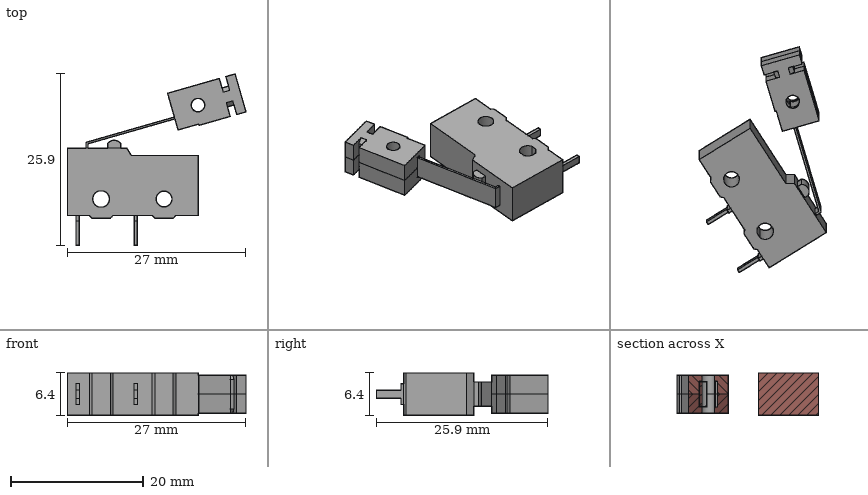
import cadquery as cq
import math

HOUSING_LENGTH = 19.8
HOUSING_THICKNESS = 6.4
HIGH_SIDE = 10.2
LOW_SIDE = 9.1
STEP_START = 9.0
STEP_END = 9.67

HOLE_DIAMETER = 2.35
HOLE_Y = 2.5
FIRST_HOLE_X = 5.1
HOLE_SPACING = 9.5
FLATTENED_DIAMETER = 2.48

PAD_BASE = 3.57
PAD_TIP = 2.78
PAD_DEPTH = 0.4

TERMINAL_X = 1.57
TERMINAL_SPACING = 8.78
TERMINAL_THICKNESS = 0.5
TERMINAL_LENGTH = 4.5
TERMINAL_WIDTH = 1.25
SHOULDER_WIDTH = 3.15
SHOULDER_LENGTH = 0.8

TILT = 16
SHEET = 0.32
LEVER_WIDTH = 3.67
STUB_X = 2.8
HOOK_RADIUS = 1.03
ARM_DROP = 0.9
HOOK_ARM = 5.4

PLUNGER_X = 7.08
PLUNGER_LENGTH = 2.0
PLUNGER_SIDE = 0.68
PLUNGER_HEIGHT = 1.2

CLIP_X = 19.75
CLIP_Y = 16.7
CLIP_WIDTH = 6.0
CLIP_THICKNESS = 5.78
CLIP_HOLE_DIAMETER = 2.0
BODY_BACK = 3.95
BODY_LENGTH = 8.15
RELIEF_LENGTH = 3.25
RELIEF_DEPTH = 0.203
NECK_LENGTH = 1.0
NECK_WIDTH = 3.0
NECK_CHAMFER = 0.68
HEAD_LENGTH = 1.49
CLEARANCE = 0.1


def place(shape):
    """Move a shape from the tilted frame of the clip to its position in the assembly."""
    return shape.rotate((0, 0, 0), (0, 0, 1), TILT).translate((CLIP_X, CLIP_Y, 0))


def slab(points, thickness):
    """Closed outline extruded symmetrically about Z = 0."""
    return cq.Workplane("XY").polyline(points).close().extrude(thickness / 2, both=True)


def block(u_start, u_end, v_start, v_end, thickness):
    """Rectangular block between two corners, centred on Z = 0."""
    return slab([(u_start, v_start), (u_end, v_start), (u_end, v_end), (u_start, v_end)], thickness)


def disc(radius, thickness):
    return cq.Workplane("XY").circle(radius).extrude(thickness / 2, both=True)


def make_case():
    case = slab(
        [
            (0, 0),
            (HOUSING_LENGTH, 0),
            (HOUSING_LENGTH, LOW_SIDE),
            (STEP_END, LOW_SIDE),
            (STEP_START, HIGH_SIDE),
            (0, HIGH_SIDE),
        ],
        HOUSING_THICKNESS,
    )
    for x in (FIRST_HOLE_X, FIRST_HOLE_X + HOLE_SPACING):
        case = case.union(slab(
            [
                (x - PAD_BASE / 2, 0),
                (x - PAD_TIP / 2, -PAD_DEPTH),
                (x + PAD_TIP / 2, -PAD_DEPTH),
                (x + PAD_BASE / 2, 0),
            ],
            HOUSING_THICKNESS,
        ))
    half_flat = HOLE_DIAMETER / 2
    flattened_hole = disc(FLATTENED_DIAMETER / 2, HOUSING_THICKNESS).intersect(
        block(-FLATTENED_DIAMETER, FLATTENED_DIAMETER, -half_flat, half_flat, HOUSING_THICKNESS)
    ).translate((FIRST_HOLE_X, HOLE_Y, 0))
    round_hole = disc(half_flat, HOUSING_THICKNESS).translate((FIRST_HOLE_X + HOLE_SPACING, HOLE_Y, 0))
    return case.cut(flattened_hole).cut(round_hole)


def make_terminal(x):
    """T-shaped blade standing out of the -Y side."""
    shoulder = cq.Workplane("XY").box(
        TERMINAL_THICKNESS, SHOULDER_LENGTH, SHOULDER_WIDTH
    ).translate((x, -SHOULDER_LENGTH / 2, 0))
    blade = cq.Workplane("XY").box(
        TERMINAL_THICKNESS, TERMINAL_LENGTH, TERMINAL_WIDTH
    ).translate((x, -TERMINAL_LENGTH / 2, 0))
    return shoulder.union(blade)


def make_plunger():
    left = PLUNGER_X - PLUNGER_LENGTH / 2
    right = PLUNGER_X + PLUNGER_LENGTH / 2
    return (
        cq.Workplane("XY")
        .moveTo(left, HIGH_SIDE)
        .lineTo(right, HIGH_SIDE)
        .lineTo(right, HIGH_SIDE + PLUNGER_SIDE)
        .threePointArc((PLUNGER_X, HIGH_SIDE + PLUNGER_HEIGHT), (left, HIGH_SIDE + PLUNGER_SIDE))
        .close()
        .extrude(LEVER_WIDTH / 2, both=True)
    )


def make_hook(gap):
    """End of the lever in the clip frame, grown by a gap on every side."""
    thickness = LEVER_WIDTH + 2 * gap
    outer = HOOK_RADIUS + SHEET + gap
    arm_top = -ARM_DROP + SHEET / 2
    arm_bottom = -ARM_DROP - SHEET / 2
    join = gap - math.sqrt((HOOK_RADIUS + SHEET) ** 2 - arm_bottom ** 2)
    ring = disc(outer, thickness).cut(disc(HOOK_RADIUS - gap, thickness))
    opening = block(join, outer, -outer, -gap, thickness)
    arm = block(-HOOK_ARM, join, arm_bottom - gap, arm_top + gap, thickness)
    return ring.cut(opening).union(arm)


def make_lever():
    slope = math.tan(math.radians(TILT))
    half_rise = SHEET / 2 / math.cos(math.radians(TILT))
    arm_y = CLIP_Y - ARM_DROP / math.cos(math.radians(TILT))
    arm_end = CLIP_X - HOOK_ARM / 2

    def arm_edge(x, offset):
        return (x, arm_y + (x - CLIP_X) * slope + offset)

    sheet = slab(
        [
            (STUB_X, HIGH_SIDE),
            (STUB_X + SHEET, HIGH_SIDE),
            arm_edge(STUB_X + SHEET, -half_rise),
            arm_edge(arm_end, -half_rise),
            arm_edge(arm_end, half_rise),
            arm_edge(STUB_X, half_rise),
        ],
        LEVER_WIDTH,
    )
    return sheet.union(place(make_hook(0)))


def make_microswitch():
    switch = make_case().union(make_plunger()).union(make_lever())
    for x in (TERMINAL_X, TERMINAL_X + TERMINAL_SPACING):
        switch = switch.union(make_terminal(x))
    return switch


def make_clip_half(z_side):
    """Half of the clip above (z_side = 1) or below (z_side = -1) the parting plane Z = 0."""
    side = CLIP_WIDTH / 2
    body_front = BODY_LENGTH - BODY_BACK
    head_back = body_front + NECK_LENGTH
    head_front = head_back + HEAD_LENGTH

    body = block(-BODY_BACK, body_front, -side, side, CLIP_THICKNESS)
    relief = block(-BODY_BACK, RELIEF_LENGTH - BODY_BACK, -side, RELIEF_DEPTH - side, CLIP_THICKNESS)
    head = block(head_back, head_front, -side, side, CLIP_THICKNESS)
    neck = (
        block(body_front, head_back, -NECK_WIDTH / 2, NECK_WIDTH / 2, CLIP_THICKNESS)
        .edges("|X").chamfer(NECK_CHAMFER)
    )
    clip = body.cut(relief).union(neck).union(head)
    clip = clip.cut(disc(CLIP_HOLE_DIAMETER / 2, CLIP_THICKNESS)).cut(make_hook(CLEARANCE))

    half_thickness = CLIP_THICKNESS / 2
    half_space = (
        block(-BODY_BACK, head_front, -side, side, half_thickness)
        .translate((0, 0, z_side * half_thickness / 2))
    )
    return place(clip.intersect(half_space))


microswitch = make_microswitch()
clip_halves = [make_clip_half(z_side) for z_side in (1, -1)]

result = cq.Compound.makeCompound([microswitch.val(), *[half.val() for half in clip_halves]])